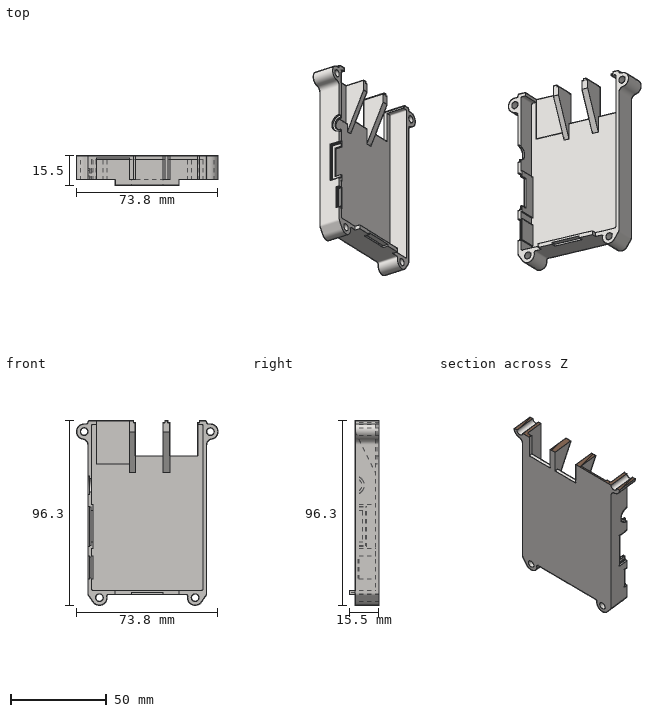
import cadquery as cq
import math


OVERALL_WIDTH = 73.78
OVERALL_HEIGHT = 96.25

WIDTH = 62.0
HEIGHT = 90.6
DEPTH = 12.5
FLOOR = 2.0
SIDE_WALL = 1.95
BOTTOM_WALL = 2.15
TOP_CORNER_RADIUS = 0.9
INNER_CORNER_RADIUS = 0.75
HALF_WIDTH = WIDTH / 2
INNER_HALF_WIDTH = HALF_WIDTH - SIDE_WALL
INNER_TOP = HEIGHT - SIDE_WALL
FLOOR_Y = DEPTH - FLOOR
LEFT_FACE = -HALF_WIDTH

EAR_RADIUS = 4.0
SCREW_HOLE_DIAMETER = 3.8
TOP_EAR_X = OVERALL_WIDTH / 2 - EAR_RADIUS
TOP_EAR_Z = 84.9
BOTTOM_EAR_X = 24.95
BOTTOM_EAR_Z = HEIGHT + EAR_RADIUS - OVERALL_HEIGHT
TOP_EAR_UPPER_FILLET = 0.75
TOP_EAR_LOWER_FILLET = 2.9
BOTTOM_EAR_FILLET = 0.9
BOTTOM_CORNER_RADIUS = 2.0

RECESS_X = (-26.5, -9.2)
RECESS_BOTTOM = 68.1
RECESS_FLOOR = 1.2
SLOTS_X = ((-6.15, 8.2), (11.8, 26.2))
SLOT_BOTTOM = 72.3
LIP_STEP = 1.0

DIVIDERS_X = ((RECESS_X[1], SLOTS_X[0][0]), (SLOTS_X[0][1], SLOTS_X[1][0]))
DIVIDER_FRONT_BOTTOM = 84.8
DIVIDER_FLOOR_BOTTOM = 63.6

PORT_RECESS = 1.0
PORT_INNER_RECESS = 1.6
PAD_THICKNESS = 0.7
JACK_Z = 56.95
JACK_RECESS_RADIUS = 4.75
JACK_HOLE_RADIUS = 3.5
VIDEO_Z = 35.5
VIDEO_RECESS = (21.0, 5.9)
VIDEO_INNER_RECESS = (20.0, 5.5)
VIDEO_OPENING = (16.5, 3.9)
VIDEO_PAD_LENGTH = 23.0
POWER_Z = 14.0
POWER_RECESS = (12.0, 2.0)
POWER_INNER_RECESS = (11.0, 1.4)
POWER_PAD_LENGTH = POWER_RECESS[0]

TONGUE_WIDTH = 33.4
TONGUE_CENTER_X = -0.1
TONGUE_HEIGHT = BOTTOM_WALL
TONGUE_LENGTH = 3.0
CARD_NOTCH_WIDTH = 16.5
CARD_NOTCH_HEIGHT = 1.0


def box(x_range, y_range, z_range):
    """Box spanning the given ranges."""
    lows, highs = zip(x_range, y_range, z_range)
    size = [high - low for low, high in zip(lows, highs)]
    return cq.Workplane("XY").box(*size, centered=False).translate(lows)


def full_depth(outline):
    """Extrude an outline in the XZ plane from the rim to the outer floor face."""
    return outline.extrude(-DEPTH)


def toward(start, end, distance):
    """Point at a distance from start on the line to end."""
    share = distance / math.dist(start, end)
    return tuple(a + share * (b - a) for a, b in zip(start, end))


def fillet_web(ear, fillet_center, line_point, inside_point):
    """Web between an ear and a wall, hollowed by a fillet tangent to both."""
    radius = math.dist(fillet_center, line_point)
    ear_point = toward(fillet_center, ear, radius)
    between = tuple((a + b) / 2 for a, b in zip(line_point, ear_point))
    middle = toward(fillet_center, between, radius)
    outline = cq.Workplane("XZ").polyline([ear_point, ear, inside_point, line_point])
    return full_depth(outline.threePointArc(middle, ear_point).close())


def ear_disc(ear):
    return full_depth(cq.Workplane("XZ").center(*ear).circle(EAR_RADIUS))


def top_ear():
    """Right-hand top ear: flat top filleted into the side wall, and a fillet below."""
    ear = (TOP_EAR_X, TOP_EAR_Z)
    flat_z = TOP_EAR_Z + EAR_RADIUS
    radius = TOP_EAR_UPPER_FILLET
    upper_web = (
        cq.Workplane("XZ")
        .polyline([(TOP_EAR_X, flat_z), ear, (INNER_HALF_WIDTH, TOP_EAR_Z)])
        .lineTo(INNER_HALF_WIDTH, flat_z + radius)
        .lineTo(HALF_WIDTH, flat_z + radius)
        .radiusArc((HALF_WIDTH + radius, flat_z), -radius)
        .close()
    )

    radius = TOP_EAR_LOWER_FILLET
    fillet_x = HALF_WIDTH + radius
    fillet_z = TOP_EAR_Z - math.sqrt((EAR_RADIUS + radius) ** 2 - (TOP_EAR_X - fillet_x) ** 2)
    wall_point = (HALF_WIDTH, fillet_z)
    lower_web = fillet_web(ear, (fillet_x, fillet_z), wall_point, (INNER_HALF_WIDTH, TOP_EAR_Z))
    return ear_disc(ear).union(full_depth(upper_web)).union(lower_web)


def bottom_ear():
    """Right-hand bottom ear: tangent web to the side wall, filleted web to the bottom wall."""
    ear = (BOTTOM_EAR_X, BOTTOM_EAR_Z)
    corner = (HALF_WIDTH, 0.0)
    reach = math.dist(ear, corner)
    corner_angle = math.atan2(corner[1] - ear[1], corner[0] - ear[0])
    tangent_angle = corner_angle - math.acos(EAR_RADIUS / reach)
    tangent_point = (
        ear[0] + EAR_RADIUS * math.cos(tangent_angle),
        ear[1] + EAR_RADIUS * math.sin(tangent_angle),
    )
    web_points = [ear, tangent_point, corner, (HALF_WIDTH, BOTTOM_WALL), (BOTTOM_EAR_X, BOTTOM_WALL)]
    tangent_web = full_depth(cq.Workplane("XZ").polyline(web_points).close())

    radius = BOTTOM_EAR_FILLET
    run = math.sqrt((EAR_RADIUS + radius) ** 2 - (BOTTOM_EAR_Z + radius) ** 2)
    fillet_x = BOTTOM_EAR_X - run
    inner_web = fillet_web(ear, (fillet_x, -radius), (fillet_x, 0.0), (BOTTOM_EAR_X, 0.0))
    return ear_disc(ear).union(tangent_web).union(inner_web)


def outer_block():
    """Solid block with its four ears."""
    block = box((-HALF_WIDTH, HALF_WIDTH), (0, DEPTH), (0, HEIGHT))
    block = block.edges("|Y and >Z").fillet(TOP_CORNER_RADIUS)
    for ear in (top_ear(), bottom_ear()):
        block = block.union(ear).union(ear.mirror("YZ"))
    for side in (-1, 1):
        corner = cq.NearestToPointSelector((side * HALF_WIDTH, DEPTH / 2, 0))
        block = block.edges("|Y").edges(corner).fillet(BOTTOM_CORNER_RADIUS)
    return block


def cavity():
    inside = box((-INNER_HALF_WIDTH, INNER_HALF_WIDTH), (0, FLOOR_Y), (BOTTOM_WALL, INNER_TOP))
    return inside.edges("|Y").fillet(INNER_CORNER_RADIUS)


def screw_holes():
    ears = [(side * TOP_EAR_X, TOP_EAR_Z) for side in (-1, 1)]
    ears += [(side * BOTTOM_EAR_X, BOTTOM_EAR_Z) for side in (-1, 1)]
    return full_depth(cq.Workplane("XZ").pushPoints(ears).circle(SCREW_HOLE_DIAMETER / 2))


def divider(x_range):
    profile = [
        (0, HEIGHT),
        (0, DIVIDER_FRONT_BOTTOM),
        (FLOOR_Y, DIVIDER_FLOOR_BOTTOM),
        (FLOOR_Y, HEIGHT),
    ]
    left, right = x_range
    return cq.Workplane("YZ").workplane(offset=left).polyline(profile).close().extrude(right - left)


def top_openings():
    """Blind recess, two through slots, and the stepped lip along each slot's mouth."""
    cut = box(RECESS_X, (0, DEPTH - RECESS_FLOOR), (RECESS_BOTTOM, HEIGHT))
    for left, right in SLOTS_X:
        slot = box((left, right), (0, DEPTH), (SLOT_BOTTOM, HEIGHT))
        lip = box((left - LIP_STEP, right + LIP_STEP), (0, DEPTH), (HEIGHT - LIP_STEP, HEIGHT))
        cut = cut.union(slot).union(lip)
    return cut


def port_pad(center_z, length):
    """Thickening on the inside of the left wall."""
    inner_face = LEFT_FACE + SIDE_WALL
    return box(
        (inner_face, inner_face + PAD_THICKNESS),
        (0, FLOOR_Y),
        (center_z - length / 2, center_z + length / 2),
    )


def port_cut(center_z, size, depth):
    """Rectangular cut into the left wall, open at the rim; size is (length along Z, reach along Y)."""
    length, reach = size
    return box((LEFT_FACE, LEFT_FACE + depth), (0, reach), (center_z - length / 2, center_z + length / 2))


def jack_cut(radius, depth):
    """Half-round cut into the left wall, centred on the rim."""
    return cq.Workplane("YZ", origin=(LEFT_FACE, 0, JACK_Z)).circle(radius).extrude(depth)


def side_ports():
    cuts = jack_cut(JACK_RECESS_RADIUS, PORT_RECESS)
    cuts = cuts.union(jack_cut(JACK_HOLE_RADIUS, SIDE_WALL))
    cuts = cuts.union(port_cut(VIDEO_Z, VIDEO_RECESS, PORT_RECESS))
    cuts = cuts.union(port_cut(VIDEO_Z, VIDEO_INNER_RECESS, PORT_INNER_RECESS))
    cuts = cuts.union(port_cut(VIDEO_Z, VIDEO_OPENING, SIDE_WALL + PAD_THICKNESS))
    cuts = cuts.union(port_cut(POWER_Z, POWER_RECESS, PORT_RECESS))
    return cuts.union(port_cut(POWER_Z, POWER_INNER_RECESS, PORT_INNER_RECESS))


def tongue():
    """Tongue extending the bottom wall past the rim, notched underneath for a card."""
    left = TONGUE_CENTER_X - TONGUE_WIDTH / 2
    half_notch = CARD_NOTCH_WIDTH / 2
    blade = box((left, left + TONGUE_WIDTH), (-TONGUE_LENGTH, 0), (0, TONGUE_HEIGHT))
    return blade.cut(box((-half_notch, half_notch), (-TONGUE_LENGTH, 0), (0, CARD_NOTCH_HEIGHT)))


result = outer_block().cut(cavity())
for x_range in DIVIDERS_X:
    result = result.union(divider(x_range))
result = result.union(port_pad(VIDEO_Z, VIDEO_PAD_LENGTH))
result = result.union(port_pad(POWER_Z, POWER_PAD_LENGTH))
result = result.union(tongue())
result = result.cut(top_openings()).cut(side_ports()).cut(screw_holes())
result = cq.Workplane(result.solids().val())